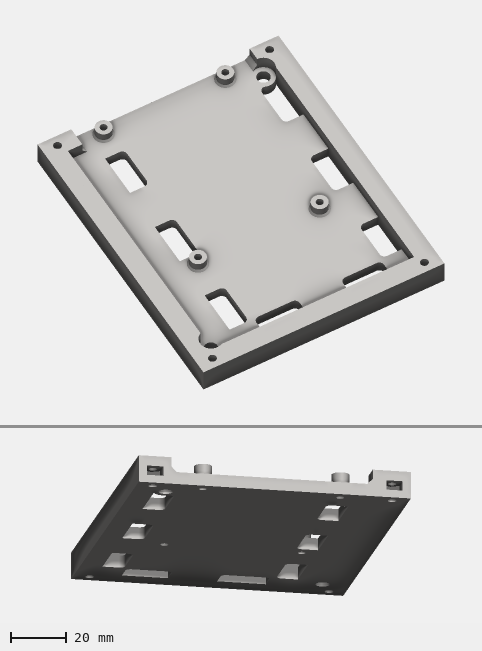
import cadquery as cq
import math

LENGTH, WIDTH, HEIGHT = 120.0, 100.0, 10.0
FLOOR = 4.5
WALL = 8.0
LEFT = -LENGTH / 2
INNER_X = LENGTH / 2 - WALL
INNER_Y = WIDTH / 2 - WALL

OPENING_BACK = 38.0
OPENING_FRONT = -36.0
OPENING_CHAMFER = 2.0

SCREW_DIAMETER = 3.2
SCREW_X, SCREW_Y = 56.0, 44.0
NUT_FLATS = 6.0
NUT_BOTTOM = 2.8
NUT_HEIGHT = 3.5

MOUNT_POINTS = [(-50.0, 38.0), (48.0, -40.0)]
MOUNT_DIAMETER = 5.2
MOUNT_CLEARANCE = 9.0

STANDOFF_X = [-56.0, 12.3]
STANDOFF_Y = [-24.9, 25.6]
STANDOFF_DIAMETER = 6.5
STANDOFF_BORE = 2.88
STANDOFF_TOP = 8.5
FOOT_FLARE = 0.75

WINDOW_DEPTH = 8.0
WINDOW_LENGTH = 18.0
SHORT_WINDOW_LENGTH = 17.0
WINDOW_RADIUS = 2.0
WINDOW_STARTS_X = [-46.0, -10.0, 26.0]
FRONT_WINDOW_EDGE = -30.0
SIDE_WINDOW_STARTS_Y = [-20.0, 16.0]


def box(x_min, x_max, y_min, y_max, z_min, z_max):
    """Axis-aligned box between two opposite corners."""
    size = (x_max - x_min, y_max - y_min, z_max - z_min)
    return cq.Workplane("XY").box(*size, centered=False).translate((x_min, y_min, z_min))


def cylinder(point, diameter, z_min, z_max):
    """Upright cylinder centred on a point."""
    return cq.Workplane("XY", origin=(*point, z_min)).circle(diameter / 2).extrude(z_max - z_min)


def tray():
    """Block with the main pocket and the opening in its -X wall."""
    body = box(LEFT, -LEFT, -WIDTH / 2, WIDTH / 2, 0, HEIGHT)
    pocket = box(-INNER_X, INNER_X, -INNER_Y, INNER_Y, FLOOR, HEIGHT)
    opening = (
        cq.Workplane("YZ", origin=(LEFT, 0, 0))
        .moveTo(OPENING_FRONT, HEIGHT)
        .lineTo(OPENING_FRONT, FLOOR + OPENING_CHAMFER)
        .lineTo(OPENING_FRONT + OPENING_CHAMFER, FLOOR)
        .lineTo(OPENING_BACK - OPENING_CHAMFER, FLOOR)
        .lineTo(OPENING_BACK, FLOOR + OPENING_CHAMFER)
        .lineTo(OPENING_BACK, HEIGHT)
        .close()
        .extrude(WALL)
    )
    return body.cut(pocket).cut(opening)


def window(x_min, x_max, y_min, y_max, rounded_side):
    """Window cutter through the floor with its two corners on one side rounded."""
    cutter = box(x_min, x_max, y_min, y_max, 0, FLOOR)
    return cutter.edges("|Z and " + rounded_side).fillet(WINDOW_RADIUS)


def window_spans(starts, last_length):
    """Start and end of each window in a row, the last one having its own length."""
    lengths = [WINDOW_LENGTH] * (len(starts) - 1) + [last_length]
    return [(start, start + length) for start, length in zip(starts, lengths)]


def cut_windows(body):
    """Cut the windows along the +Y, -Y and +X sides; those next to the +X/+Y corner are short."""
    for x_min, x_max in window_spans(WINDOW_STARTS_X, SHORT_WINDOW_LENGTH):
        body = body.cut(window(x_min, x_max, INNER_Y - WINDOW_DEPTH, INNER_Y, "<Y"))
    for x_min, x_max in window_spans(WINDOW_STARTS_X, WINDOW_LENGTH):
        inner_edge = FRONT_WINDOW_EDGE + WINDOW_DEPTH
        body = body.cut(window(x_min, x_max, FRONT_WINDOW_EDGE, inner_edge, ">Y"))
    for y_min, y_max in window_spans(SIDE_WINDOW_STARTS_Y, SHORT_WINDOW_LENGTH):
        body = body.cut(window(INNER_X - WINDOW_DEPTH, INNER_X, y_min, y_max, "<X"))

    mount_x, mount_y = MOUNT_POINTS[0]
    return body.cut(box(mount_x, WINDOW_STARTS_X[0], mount_y, INNER_Y, 0, FLOOR))


def cut_mounting_holes(body):
    """Restore a full floor disc at each mounting hole, clear the space above it and drill it."""
    for point in MOUNT_POINTS:
        body = body.union(cylinder(point, MOUNT_CLEARANCE, 0, FLOOR))
        body = body.cut(cylinder(point, MOUNT_CLEARANCE, FLOOR, HEIGHT))
        body = body.cut(cylinder(point, MOUNT_DIAMETER, 0, FLOOR))
    return body


def add_standoffs(body):
    """Add the standoffs, trimmed flush with the -X face, and bore them through the floor."""
    radius = STANDOFF_DIAMETER / 2
    profile = (
        cq.Workplane("XZ")
        .moveTo(0, FLOOR)
        .lineTo(radius + FOOT_FLARE, FLOOR)
        .lineTo(radius, FLOOR + FOOT_FLARE)
        .lineTo(radius, STANDOFF_TOP)
        .lineTo(0, STANDOFF_TOP)
        .close()
    )
    standoff = profile.revolve(360, (0, 0, 0), (0, 1, 0))
    envelope = box(LEFT, -LEFT, -WIDTH / 2, WIDTH / 2, 0, HEIGHT)
    for x in STANDOFF_X:
        for y in STANDOFF_Y:
            body = body.union(standoff.translate((x, y, 0)).intersect(envelope))
            body = body.cut(cylinder((x, y), STANDOFF_BORE, 0, STANDOFF_TOP))
    return body


def nut_pocket(y):
    """Slot from the -X face ending in a hexagon with one corner pointing along +X."""
    corner_diameter = NUT_FLATS / math.cos(math.pi / 6)
    hexagon = (
        cq.Workplane("XY", origin=(-SCREW_X, y, NUT_BOTTOM))
        .polygon(6, corner_diameter)
        .extrude(NUT_HEIGHT)
    )
    half = NUT_FLATS / 2
    entry = box(LEFT, -SCREW_X, y - half, y + half, NUT_BOTTOM, NUT_BOTTOM + NUT_HEIGHT)
    return hexagon.union(entry)


def cut_corner_screws(body):
    """Drill the four corner holes and cut the nut pockets of the two on the -X side."""
    for y in (-SCREW_Y, SCREW_Y):
        for x in (-SCREW_X, SCREW_X):
            body = body.cut(cylinder((x, y), SCREW_DIAMETER, 0, HEIGHT))
        body = body.cut(nut_pocket(y))
    return body


result = tray()
result = cut_windows(result)
result = cut_mounting_holes(result)
result = add_standoffs(result)
result = cut_corner_screws(result)